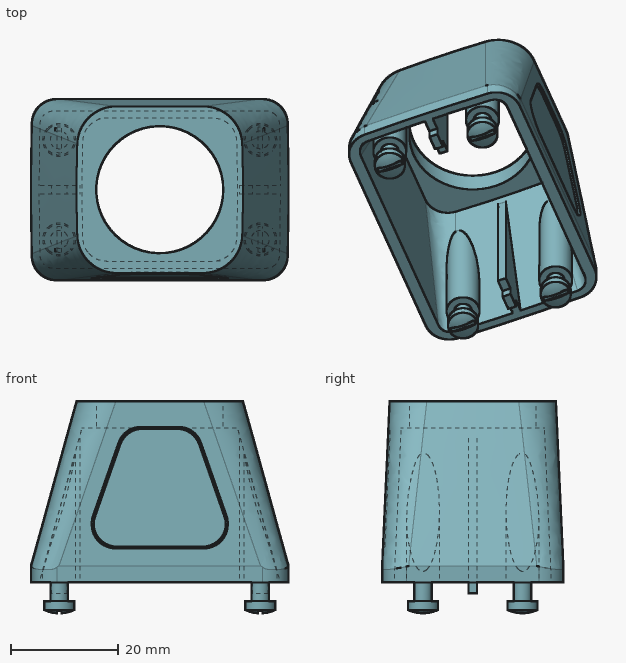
import cadquery as cq
import math


body_height = 33.8
rim_height = 3.05
base_half_x = 24.0
base_half_y = 16.9
base_corner_radius = 4.7
slope_corner_radius = 5.1
top_half = 15.5
top_corner_radius = 7.2
end_bulge = 0.15

entry_diameter = 23.6
ceiling_thickness = 5.0
wall_thickness = 2.4

panel_top_z = 29.0
panel_bottom_z = 6.35
panel_top_half = 6.6
panel_bottom_half = 14.55
panel_corner_radius = 4.55
panel_depth = 0.4
panel_wall_taper = 45.0

screw_x = 18.7
screw_y = 9.25
shank_diameter = 3.3
head_diameter = 5.6
head_top_z = -3.45
head_edge_z = -5.1
head_tip_z = -5.75
screw_slot_width = 0.8
screw_slot_depth = 0.5
boss_radius = 3.05

rib_width = 1.6
rib_inner_x = 14.9
tab_inner_x = 17.3
tab_outer_x = 20.15
tab_length = 2.0

slope_height = body_height - rim_height
slope_x = (base_half_x - top_half) / slope_height
slope_y = (base_half_y - top_half) / slope_height
slope_radius = (top_corner_radius - slope_corner_radius) / slope_height
ceiling_z = body_height - ceiling_thickness


def rounded_section(z, half_x, half_y, radius):
    """Closed outline at height z: straight long sides, bowed ends, corner arcs tangent to both."""
    corner_x = half_x - end_bulge - radius
    corner_y = half_y - radius
    reach = radius + end_bulge
    end_radius = (reach**2 + corner_y**2 - radius**2) / (2 * end_bulge)
    join_angle = math.asin(corner_y / (end_radius - radius))
    middle_angle = (join_angle + math.pi / 2) / 2
    join_x = corner_x + radius * math.cos(join_angle)
    join_y = corner_y + radius * math.sin(join_angle)
    middle_x = corner_x + radius * math.cos(middle_angle)
    middle_y = corner_y + radius * math.sin(middle_angle)
    outline = cq.Workplane("XY", origin=(0, 0, z)).moveTo(-corner_x, -half_y)
    for turn in (1, -1):
        outline = (
            outline.lineTo(turn * corner_x, -turn * half_y)
            .threePointArc((turn * middle_x, -turn * middle_y), (turn * join_x, -turn * join_y))
            .threePointArc((turn * half_x, 0), (turn * join_x, turn * join_y))
            .threePointArc((turn * middle_x, turn * middle_y), (turn * corner_x, turn * half_y))
        )
    return outline.close()


def sloping_section(z, inset):
    """Wire of the sloping shell at height z, moved inward by inset."""
    above_rim = z - rim_height
    return rounded_section(
        z,
        base_half_x - slope_x * above_rim - inset,
        base_half_y - slope_y * above_rim - inset,
        slope_corner_radius + slope_radius * above_rim - inset,
    ).val()


def sloping_solid(bottom_z, top_z, inset):
    sections = [sloping_section(bottom_z, inset), sloping_section(top_z, inset)]
    return cq.Workplane(cq.Solid.makeLoft(sections, True))


def make_envelope():
    """Solid outer shape: the sloping shell trimmed by the upright rim."""
    rim = rounded_section(0, base_half_x, base_half_y, base_corner_radius).extrude(body_height)
    return sloping_solid(0, body_height, 0).intersect(rim)


def box_between(x_range, y_range, z_range):
    size = [high - low for low, high in (x_range, y_range, z_range)]
    corner = (x_range[0], y_range[0], z_range[0])
    return cq.Workplane("XY").box(*size, centered=False).translate(corner)


def make_panel_recess():
    """Rounded trapezoid cut square to the sloping front face, with chamfer-like walls."""
    middle_z = (panel_top_z + panel_bottom_z) / 2
    face_y = base_half_y - slope_y * (middle_z - rim_height)
    stretch = math.hypot(1, slope_y)
    half_height = (panel_top_z - panel_bottom_z) / 2 * stretch
    face = cq.Plane(origin=(0, -face_y, middle_z), xDir=(-1, 0, 0), normal=(0, 1, -slope_y))
    outline = (
        cq.Sketch()
        .polygon(
            [
                (-panel_bottom_half, -half_height),
                (panel_bottom_half, -half_height),
                (panel_top_half, half_height),
                (-panel_top_half, half_height),
                (-panel_bottom_half, -half_height),
            ]
        )
        .vertices()
        .fillet(panel_corner_radius)
    )
    return cq.Workplane(face).placeSketch(outline).extrude(panel_depth, taper=panel_wall_taper)


def make_screw():
    """Shank, flat-topped head with a domed underside, and a driver slot along Y."""
    head_radius = head_diameter / 2
    dome_height = head_edge_z - head_tip_z
    dome_radius = (head_radius**2 + dome_height**2) / (2 * dome_height)
    dome_mid_x = head_radius / 2
    dome_mid_z = head_tip_z + dome_radius - math.sqrt(dome_radius**2 - dome_mid_x**2)
    screw = (
        cq.Workplane("XZ")
        .moveTo(0, 0)
        .lineTo(shank_diameter / 2, 0)
        .lineTo(shank_diameter / 2, head_top_z)
        .lineTo(head_radius, head_top_z)
        .lineTo(head_radius, head_edge_z)
        .threePointArc((dome_mid_x, dome_mid_z), (0, head_tip_z))
        .close()
        .revolve(360, (0, 0), (0, 1))
    )
    slot = box_between(
        (-screw_slot_width / 2, screw_slot_width / 2),
        (-head_radius, head_radius),
        (head_tip_z, head_tip_z + screw_slot_depth),
    )
    return screw.cut(slot)


envelope = make_envelope()
hood = envelope.cut(sloping_solid(0, ceiling_z, wall_thickness))
hood = hood.cut(cq.Workplane("XY").circle(entry_diameter / 2).extrude(body_height))

wall_middle = sloping_solid(0, ceiling_z, wall_thickness / 2)
screw_points = [(x, y) for x in (-screw_x, screw_x) for y in (-screw_y, screw_y)]
bosses = cq.Workplane("XY").pushPoints(screw_points).circle(boss_radius).extrude(ceiling_z)
hood = hood.union(bosses.intersect(wall_middle))

rib_y_range = (-rib_width / 2, rib_width / 2)
rib = box_between((rib_inner_x, base_half_x), rib_y_range, (0, ceiling_z)).intersect(wall_middle)
tab = box_between((tab_inner_x, tab_outer_x), rib_y_range, (-tab_length, 0))
for end_feature in (rib, tab):
    hood = hood.union(end_feature).union(end_feature.mirror("YZ"))

hood = hood.cut(make_panel_recess())

for x, y in screw_points:
    hood = hood.union(make_screw().translate((x, y, 0)))

result = hood